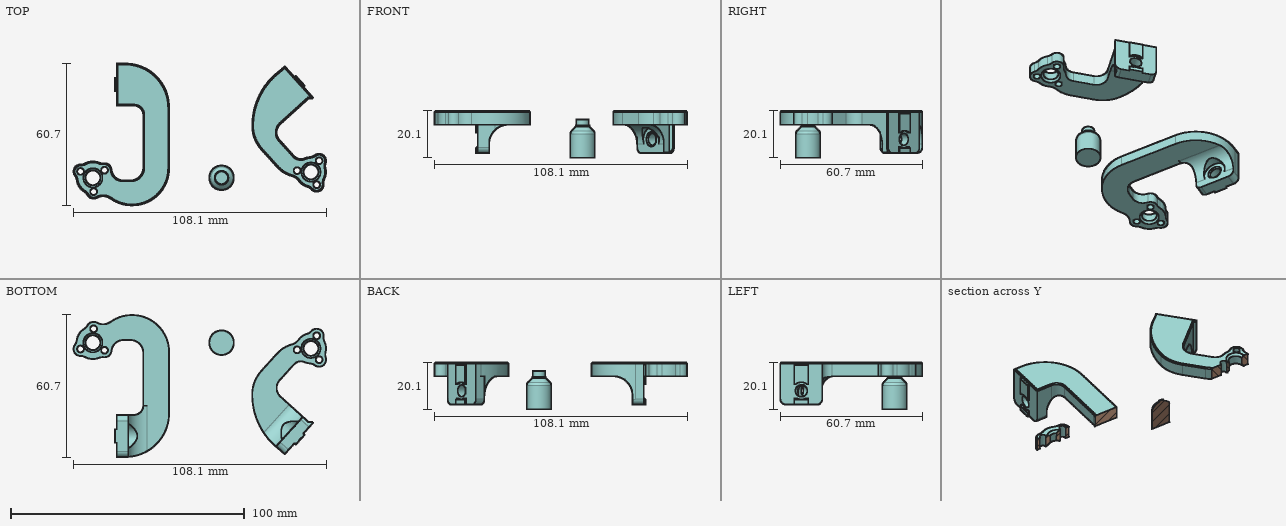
import cadquery as cq
import math

PLATE_TOP = 20.1
PLATE_THICKNESS = 5.9
PLATE_BOTTOM = PLATE_TOP - PLATE_THICKNESS
BLOCK_HEIGHT = 18.0
BLOCK_BOTTOM = PLATE_TOP - BLOCK_HEIGHT
EDGE_CHAMFER = 0.5

BLOCK_WIDTH = 18.0
BLOCK_HALF_WIDTH = BLOCK_WIDTH / 2
BLOCK_DEPTH = 5.0
BLOCK_CORNER_RADIUS = 2.5
GUSSET_RADIUS = 8.0
GUSSET_OVERHANG = 4.0
SCREW_HEIGHT = 8.0
SCREW_HOLE_DIAMETER = 5.1
SCREW_COUNTERSINK_DIAMETER = 6.3
SCREW_HEAD_DIAMETER = 10.0

KEY_WIDTH = 5.8
KEY_HEIGHT = 0.8
KEY_CHAMFER = 0.6
KEY_CLEARANCE_RADIUS = 3.7
UPPER_KEY_BOTTOM = 10.8
LOWER_KEY_TOP = 4.8

LOBE_CIRCLE_RADIUS = 5.9
LOBE_RADIUS = 3.0
LOBE_BLEND_RADIUS = 4.0
LOBE_SPACING = 120
LOBE_HOLE_DIAMETER = 2.8
PIN_HOLE_DIAMETER = 6.3
PIN_COUNTERSINK_DIAMETER = 8.2

LONG_FACE_CENTER = (-44.8, 39.9)
LONG_HEAD_CENTER = (-10.2, -39.9)
LONG_HEAD_ANGLE = 33
LONG_RING_RADIUS = 7.0
LONG_ARM_INNER_X = 11.3
LONG_ARM_OUTER_X = 22.5
LONG_FOOT_INNER_Y = -40.9
LONG_FOOT_OUTER_Y = -51.7
LONG_TOP_ARC_RADIUS = 18.8
LONG_FOOT_ARC_RADIUS = 15.9
LONG_TOP_CORNER_RADIUS = 4.0
LONG_FOOT_CORNER_RADIUS = 5.4
LONG_INNER_BLEND_RADIUS = 5.0
LONG_OUTER_BLEND_RADIUS = 5.4

SHORT_FACE_CENTER = (33.1, 40.9)
SHORT_FACE_ANGLE = 42.2
SHORT_HEAD_CENTER = (22.0, -32.0)
SHORT_HEAD_ANGLE = 168
SHORT_RING_RADIUS = 6.5
SHORT_FLANGE_THICKNESS = 0.8
SHORT_ARM_LOWER_Y = -8.0
SHORT_ARM_INNER_X = 22.8
SHORT_ARM_OUTER_X = 31.3
SHORT_CORNER_RADIUS = 5.0
SHORT_BACK_START_X = 2.7
SHORT_BACK_MIDDLE = (15.3, 7.6)
SHORT_BACK_END = (27.2, -0.2)
SHORT_SHOULDER_END_Y = -10.6
SHORT_FOOT_ARC_RADIUS = 13.2
SHORT_FOOT_ARC_Y = -20.7
SHORT_INNER_BLEND_RADIUS = 4.0
SHORT_OUTER_BLEND_RADIUS = 5.0

PIN_DIAMETER = 10.6
PIN_COLLAR_DIAMETER = 5.9
PIN_NECK_DIAMETER = 5.4
PIN_HEIGHT = 16.5
PIN_COLLAR_TOP = 13.9
PIN_CONE_TOP = 13.4
PIN_SHOULDER_RADIUS = 1.9


def polar(center, radius, angle):
    """Point at a radius and an angle in degrees around a center."""
    turn = math.radians(angle)
    return (center[0] + radius * math.cos(turn), center[1] + radius * math.sin(turn))


def toward(start, end, distance):
    """Point at a distance from start on the line to end."""
    length = math.dist(start, end)
    return tuple(a + (b - a) * distance / length for a, b in zip(start, end))


def blend_circle(first, second, radius):
    """Concave circle that touches two circles, to the right of the line from first to second."""
    (center_1, radius_1), (center_2, radius_2) = first, second
    reach_1 = radius_1 + radius
    reach_2 = radius_2 + radius
    span = math.dist(center_1, center_2)
    along = (reach_1**2 - reach_2**2 + span**2) / (2 * span)
    aside = math.sqrt(reach_1**2 - along**2)
    unit_x = (center_2[0] - center_1[0]) / span
    unit_y = (center_2[1] - center_1[1]) / span
    center = (
        center_1[0] + along * unit_x + aside * unit_y,
        center_1[1] + along * unit_y - aside * unit_x,
    )
    return center, radius


def follow_circles(path, start, circles, end):
    """Continue a path from start to end along circles that each touch the next one from outside."""
    contacts = [toward(a[0], b[0], a[1]) for a, b in zip(circles, circles[1:])]
    for (center, radius), arc_end in zip(circles, [*contacts, end]):
        chord_middle = ((start[0] + arc_end[0]) / 2, (start[1] + arc_end[1]) / 2)
        path = path.threePointArc(toward(center, chord_middle, radius), arc_end)
        start = arc_end
    return path


def lobe_center(head_center, head_angle, index):
    return polar(head_center, LOBE_CIRCLE_RADIUS, head_angle + index * LOBE_SPACING)


def with_blends(circles):
    """Put a concave blend between each two neighbours of a row of convex circles."""
    row = [circles[0]]
    for first, second in zip(circles, circles[1:]):
        row += [blend_circle(first, second, LOBE_BLEND_RADIUS), second]
    return row


def long_outline():
    """J-shaped outline with the ring between the first two of its three lobes."""
    ring = (LONG_HEAD_CENTER, LONG_RING_RADIUS)
    lobes = [(lobe_center(LONG_HEAD_CENTER, LONG_HEAD_ANGLE, i), LOBE_RADIUS) for i in range(3)]
    head = with_blends([lobes[0], ring, lobes[1], ring, lobes[2]])

    blend_y = LONG_FOOT_INNER_Y + LONG_INNER_BLEND_RADIUS
    blend_reach = LOBE_RADIUS + LONG_INNER_BLEND_RADIUS
    lobe_x, lobe_y = lobes[0][0]
    blend_x = lobe_x + math.sqrt(blend_reach**2 - (blend_y - lobe_y) ** 2)
    inner_blend = ((blend_x, blend_y), LONG_INNER_BLEND_RADIUS)
    blend_start = (blend_x, LONG_FOOT_INNER_Y)

    foot_x = LONG_ARM_OUTER_X - LONG_FOOT_ARC_RADIUS
    foot_y = LONG_FOOT_OUTER_Y + LONG_FOOT_ARC_RADIUS
    foot_arc = ((foot_x, foot_y), LONG_FOOT_ARC_RADIUS)
    outer_blend = blend_circle(lobes[2], foot_arc, LONG_OUTER_BLEND_RADIUS)
    foot_bottom = (foot_x, LONG_FOOT_OUTER_Y)

    path = (
        cq.Workplane("XY")
        .moveTo(0, BLOCK_HALF_WIDTH)
        .lineTo(0, -BLOCK_HALF_WIDTH)
        .lineTo(LONG_ARM_INNER_X - LONG_TOP_CORNER_RADIUS, -BLOCK_HALF_WIDTH)
        .tangentArcPoint((LONG_ARM_INNER_X, -BLOCK_HALF_WIDTH - LONG_TOP_CORNER_RADIUS), relative=False)
        .lineTo(LONG_ARM_INNER_X, LONG_FOOT_INNER_Y + LONG_FOOT_CORNER_RADIUS)
        .tangentArcPoint((LONG_ARM_INNER_X - LONG_FOOT_CORNER_RADIUS, LONG_FOOT_INNER_Y), relative=False)
        .lineTo(*blend_start)
    )
    path = follow_circles(path, blend_start, [inner_blend, *head, outer_blend, foot_arc], foot_bottom)
    return (
        path.tangentArcPoint((LONG_ARM_OUTER_X, foot_y), relative=False)
        .lineTo(LONG_ARM_OUTER_X, BLOCK_HALF_WIDTH - LONG_TOP_ARC_RADIUS)
        .tangentArcPoint((LONG_ARM_OUTER_X - LONG_TOP_ARC_RADIUS, BLOCK_HALF_WIDTH), relative=False)
        .close()
    )


def short_outline():
    """Hooked outline with a flange at its face and the ring on both sides of its two lobes."""
    ring = (SHORT_HEAD_CENTER, SHORT_RING_RADIUS)
    lobes = [(lobe_center(SHORT_HEAD_CENTER, SHORT_HEAD_ANGLE, i), LOBE_RADIUS) for i in range(2)]
    head = with_blends([ring, lobes[0], ring, lobes[1], ring])

    blend_x = SHORT_ARM_INNER_X - SHORT_INNER_BLEND_RADIUS
    blend_reach = SHORT_RING_RADIUS + SHORT_INNER_BLEND_RADIUS
    head_x, head_y = SHORT_HEAD_CENTER
    blend_y = head_y + math.sqrt(blend_reach**2 - (blend_x - head_x) ** 2)
    inner_blend = ((blend_x, blend_y), SHORT_INNER_BLEND_RADIUS)
    blend_start = (SHORT_ARM_INNER_X, blend_y)

    foot_arc = ((SHORT_ARM_OUTER_X - SHORT_FOOT_ARC_RADIUS, SHORT_FOOT_ARC_Y), SHORT_FOOT_ARC_RADIUS)
    outer_blend = blend_circle(ring, foot_arc, SHORT_OUTER_BLEND_RADIUS)
    foot_end = (SHORT_ARM_OUTER_X, SHORT_FOOT_ARC_Y)

    flange_step = BLOCK_HALF_WIDTH + SHORT_ARM_LOWER_Y
    path = (
        cq.Workplane("XY")
        .moveTo(0, BLOCK_HALF_WIDTH)
        .lineTo(0, -BLOCK_HALF_WIDTH)
        .lineTo(SHORT_FLANGE_THICKNESS, -BLOCK_HALF_WIDTH)
        .lineTo(SHORT_FLANGE_THICKNESS + flange_step, SHORT_ARM_LOWER_Y)
        .lineTo(SHORT_ARM_INNER_X - SHORT_CORNER_RADIUS, SHORT_ARM_LOWER_Y)
        .tangentArcPoint((SHORT_ARM_INNER_X, SHORT_ARM_LOWER_Y - SHORT_CORNER_RADIUS), relative=False)
        .lineTo(*blend_start)
    )
    path = follow_circles(path, blend_start, [inner_blend, *head, outer_blend, foot_arc], foot_end)
    return (
        path.lineTo(SHORT_ARM_OUTER_X, SHORT_SHOULDER_END_Y)
        .tangentArcPoint(SHORT_BACK_END, relative=False)
        .threePointArc(SHORT_BACK_MIDDLE, (SHORT_BACK_START_X, BLOCK_HALF_WIDTH))
        .close()
    )


def along_screw(diameter, start, length):
    """Cylinder on the screw axis, from x = start."""
    axis_start = cq.Workplane("YZ", origin=(start, 0, SCREW_HEIGHT))
    return axis_start.circle(diameter / 2).extrude(length)


def plate(outline):
    """Flat plate with a chamfered top edge."""
    flat = outline().extrude(PLATE_THICKNESS).translate((0, 0, PLATE_BOTTOM))
    return flat.faces(">Z").edges().chamfer(EDGE_CHAMFER)


def mounting_block(outline):
    """Block and curved gusset below the plate, trimmed to the outline of the hook."""
    drop = PLATE_BOTTOM - BLOCK_BOTTOM
    block = (
        cq.Workplane("XY", origin=(0, 0, BLOCK_BOTTOM))
        .box(BLOCK_DEPTH, BLOCK_WIDTH, drop, centered=(False, True, False))
        .edges("|X and <Z")
        .fillet(BLOCK_CORNER_RADIUS)
    )
    gusset_end = BLOCK_DEPTH + GUSSET_RADIUS
    gusset_foot = PLATE_BOTTOM - GUSSET_RADIUS
    bow = GUSSET_RADIUS * math.sqrt(0.5)
    gusset_half_width = BLOCK_HALF_WIDTH + GUSSET_OVERHANG
    gusset = (
        cq.Workplane("XZ", origin=(0, gusset_half_width, 0))
        .moveTo(BLOCK_DEPTH, PLATE_BOTTOM)
        .lineTo(BLOCK_DEPTH, gusset_foot)
        .threePointArc((gusset_end - bow, gusset_foot + bow), (gusset_end, PLATE_BOTTOM))
        .close()
        .extrude(2 * gusset_half_width)
    )
    footprint = outline().extrude(drop).translate((0, 0, BLOCK_BOTTOM))
    screw_head = along_screw(SCREW_HEAD_DIAMETER, BLOCK_DEPTH, GUSSET_RADIUS)
    return block.union(gusset).intersect(footprint).cut(screw_head)


def key_pad(bottom, top):
    """Pad of the locating key with a chamfered upper end, cut clear around the screw hole."""
    pad = (
        cq.Workplane("XY", origin=(-KEY_HEIGHT, 0, bottom))
        .box(KEY_HEIGHT, KEY_WIDTH, top - bottom, centered=(False, True, False))
        .edges(">Z and <X")
        .chamfer(KEY_CHAMFER)
    )
    return pad.cut(along_screw(2 * KEY_CLEARANCE_RADIUS, -KEY_HEIGHT, KEY_HEIGHT))


def countersink(wide_diameter, hole_diameter, mouth, direction):
    """Right-angled cone that narrows from its mouth to the hole."""
    depth = (wide_diameter - hole_diameter) / 2
    cone = cq.Solid.makeCone(wide_diameter / 2, hole_diameter / 2, depth, cq.Vector(mouth), cq.Vector(direction))
    return cq.Workplane(cone)


def screw_hole():
    """Hole through the block, countersunk at the back."""
    hole = along_screw(SCREW_HOLE_DIAMETER, 0, BLOCK_DEPTH)
    mouth = (BLOCK_DEPTH, 0, SCREW_HEIGHT)
    return hole.union(countersink(SCREW_COUNTERSINK_DIAMETER, SCREW_HOLE_DIAMETER, mouth, (-1, 0, 0)))


def head_holes(head_center, head_angle):
    """Pin hole, countersunk at both ends, and the three lobe holes around it."""
    bottom = cq.Workplane("XY", origin=(0, 0, PLATE_BOTTOM))
    lobe_centers = [lobe_center(head_center, head_angle, i) for i in range(3)]
    pin_hole = bottom.center(*head_center).circle(PIN_HOLE_DIAMETER / 2).extrude(PLATE_THICKNESS)
    lobe_holes = bottom.pushPoints(lobe_centers).circle(LOBE_HOLE_DIAMETER / 2).extrude(PLATE_THICKNESS)
    holes = pin_hole.union(lobe_holes)
    for mouth_height, inward in ((PLATE_TOP, -1), (PLATE_BOTTOM, 1)):
        mouth = (*head_center, mouth_height)
        sink = countersink(PIN_COUNTERSINK_DIAMETER, PIN_HOLE_DIAMETER, mouth, (0, 0, inward))
        holes = holes.union(sink)
    return holes


def hook(outline, head_center, head_angle):
    """Complete hook with the mounting face at x = 0; outline is the function that draws its shape."""
    return (
        plate(outline)
        .union(mounting_block(outline))
        .union(key_pad(UPPER_KEY_BOTTOM, PLATE_TOP - EDGE_CHAMFER))
        .union(key_pad(BLOCK_BOTTOM, LOWER_KEY_TOP))
        .cut(screw_hole())
        .cut(head_holes(head_center, head_angle))
    )


def turned_pin():
    """Round pin with a cone, a narrow collar and a neck."""
    radius = PIN_DIAMETER / 2
    collar = PIN_COLLAR_DIAMETER / 2
    neck = PIN_NECK_DIAMETER / 2
    cone_bottom = PIN_CONE_TOP - (radius - collar)
    body = (
        cq.Workplane("XZ")
        .lineTo(radius, 0)
        .lineTo(radius, cone_bottom)
        .lineTo(collar, PIN_CONE_TOP)
        .lineTo(collar, PIN_COLLAR_TOP)
        .lineTo(neck, PIN_COLLAR_TOP)
        .lineTo(neck, PIN_HEIGHT)
        .lineTo(0, PIN_HEIGHT)
        .close()
        .revolve(360, (0, 0, 0), (0, 1, 0))
    )
    shoulder = cq.selectors.NearestToPointSelector((0, 0, cone_bottom))
    return body.edges(shoulder).fillet(PIN_SHOULDER_RADIUS)


long_hook = hook(long_outline, LONG_HEAD_CENTER, LONG_HEAD_ANGLE).translate((*LONG_FACE_CENTER, 0))

short_hook = (
    hook(short_outline, SHORT_HEAD_CENTER, SHORT_HEAD_ANGLE)
    .mirror("YZ")
    .rotate((0, 0, 0), (0, 0, 1), SHORT_FACE_ANGLE)
    .translate((*SHORT_FACE_CENTER, 0))
)

pin = turned_pin()

result = cq.Compound.makeCompound([long_hook.val(), short_hook.val(), pin.val()])